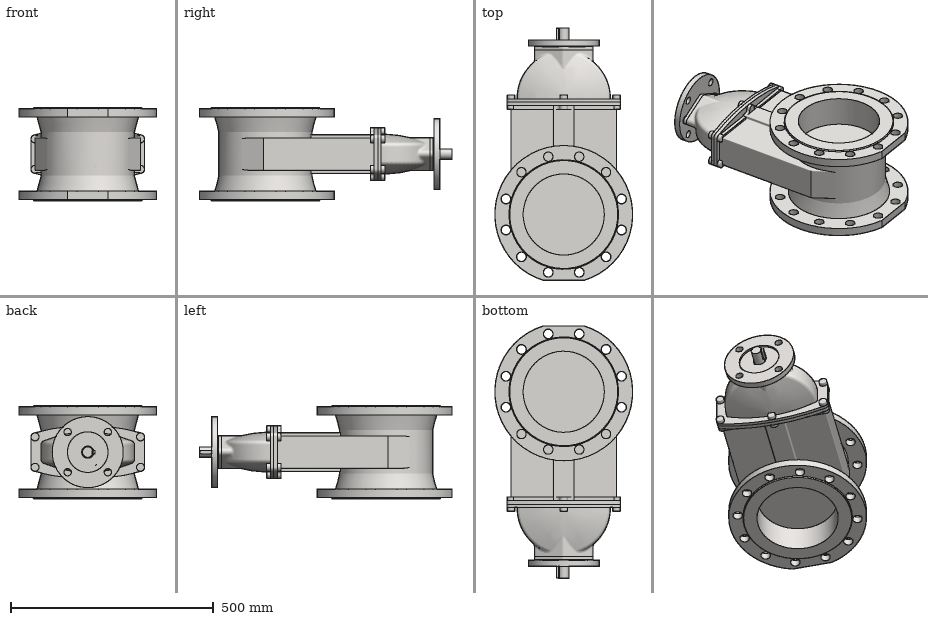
import cadquery as cq
import math


face_to_face = 230.0
bore_diameter = 200.0
flange_diameter = 340.0
flange_flat_width = 100.0
flange_thickness = 21.0
raised_face_diameter = 266.0
raised_face_base_diameter = 270.0
raised_face_height = 3.0
bolt_circle = 295.0
bolt_hole_count = 12
bolt_hole_diameter = 23.0

neck_diameter = 230.0
neck_flare_diameter = 250.0
neck_flare_start = 53.5

chest_half_width = 130.0
chest_half_depth = 40.0
chest_edge_radius = 2.0
chest_taper_start = -5.0
chest_taper_end = -56.5
rib_half_depth = 48.0
rib_half_width = 25.5
rib_edge_radius = 2.0
collar_half_depth = 45.0
collar_length = 9.0

joint_y = 277.5
body_joint_thickness = 9.5
bonnet_joint_thickness = 7.5
joint_corner_radius = 10.0
lug_inset = 0.2
body_lug_length = 18.5
bonnet_lug_length = 17.0
lug_edge_radius = 2.0
corner_lug_x = 130.0
corner_lug_z = 37.5
crown_lug_z = 55.5

dome_radius = 115.0
dome_center_y = 287.0
dome_height = 49.5
dome_cap_radius = 281.0
dome_edge_radius = 10.0
tower_corner_radius = 10.0
tower_corner_x = 62.5
tower_corner_z = 30.5
tower_top_y = 405.5
tower_root_radius = 8.0

gland_thickness = 8.0
gland_gap = 1.5
actuator_flange_diameter = 175.0
actuator_flange_thickness = 15.0
actuator_bolt_circle = 140.0
actuator_hole_count = 4
actuator_hole_diameter = 18.0
actuator_recess_diameter = 100.0
actuator_recess_depth = 5.0
actuator_bore_diameter = 30.0
stem_diameter = 26.0
stem_end_y = 460.0
key_width = 8.0
key_height = 8.0
key_length = 32.0
key_end_inset = 0.5
key_outer_x = 18.0

gate_thickness = 80.0

lug_radius = joint_corner_radius - lug_inset
half_length = face_to_face / 2
flange_outer_z = half_length - raised_face_height
flange_inner_z = flange_outer_z - flange_thickness
gland_top_y = tower_top_y + gland_thickness
flange_back_y = gland_top_y + gland_gap
flange_front_y = flange_back_y + actuator_flange_thickness
SIDES = (-1, 1)


def plane_at(y):
    """Plane across the Y axis at y, with local x along X and local y along Z."""
    return cq.Workplane("XZ", origin=(0, y, 0))


def bar(sketch_at, y_start, y_end):
    """Extrudes the outline drawn by sketch_at from y_start to y_end."""
    return sketch_at(plane_at(y_start)).extrude(y_start - y_end)


def cylinder_along_y(diameter, y_start, y_end, x=0.0, z=0.0):
    return bar(lambda plane: plane.center(x, z).circle(diameter / 2), y_start, y_end)


def box_between(x_half, y_start, y_end, z_half):
    box = cq.Workplane("XY").box(2 * x_half, y_end - y_start, 2 * z_half)
    return box.translate((0, (y_start + y_end) / 2, 0))


def joint_outline(plane):
    """Flat sides and shallow crown arcs, joined tangentially around the corner lugs."""
    crown_z = crown_lug_z + joint_corner_radius
    rise = crown_lug_z - corner_lug_z
    crown_radius = joint_corner_radius + (corner_lug_x**2 + rise**2) / (2 * rise)
    lean = math.asin(corner_lug_x / (crown_radius - joint_corner_radius))
    side_x = corner_lug_x + joint_corner_radius

    def on_lug(angle):
        """Point of the +X +Z corner circle at an angle from the Z direction."""
        x = corner_lug_x + joint_corner_radius * math.sin(angle)
        z = corner_lug_z + joint_corner_radius * math.cos(angle)
        return x, z

    shoulder_x, shoulder_z = on_lug(lean)
    round_x, round_z = on_lug((lean + math.pi / 2) / 2)
    return (
        plane.moveTo(-side_x, -corner_lug_z)
        .lineTo(-side_x, corner_lug_z)
        .threePointArc((-round_x, round_z), (-shoulder_x, shoulder_z))
        .threePointArc((0, crown_z), (shoulder_x, shoulder_z))
        .threePointArc((round_x, round_z), (side_x, corner_lug_z))
        .lineTo(side_x, -corner_lug_z)
        .threePointArc((round_x, -round_z), (shoulder_x, -shoulder_z))
        .threePointArc((0, -crown_z), (-shoulder_x, -shoulder_z))
        .threePointArc((-round_x, -round_z), (-side_x, -corner_lug_z))
        .close()
    )


def joint_flange(thickness, direction, lug_length):
    """Half of the joint: a flange plate and six lugs, on one side of the joint plane."""
    face_y = joint_y + direction * thickness
    lug_end = joint_y + direction * lug_length
    flange = bar(joint_outline, joint_y, face_y)
    lug_centers = [(x * corner_lug_x, z * corner_lug_z) for x in SIDES for z in SIDES]
    lug_centers += [(0, z * crown_lug_z) for z in SIDES]
    end_face = ">Y" if direction > 0 else "<Y"
    for x, z in lug_centers:
        lug = cylinder_along_y(2 * lug_radius, face_y, lug_end, x, z)
        if direction > 0 or x != 0:
            lug = lug.faces(end_face).edges().fillet(lug_edge_radius)
        flange = flange.union(lug)
    return flange


def pipe_section():
    """Flanges, raised faces and the waisted neck as one turned solid."""
    upper = [(neck_diameter / 2, neck_flare_start), (neck_flare_diameter / 2, flange_inner_z)]
    upper += [(flange_diameter / 2, flange_inner_z), (flange_diameter / 2, flange_outer_z)]
    upper += [(raised_face_base_diameter / 2, flange_outer_z)]
    upper += [(raised_face_diameter / 2, half_length), (0, half_length)]
    lower = [(r, -z) for r, z in reversed(upper)]
    pipe = cq.Workplane("XZ").polyline(lower + upper).close().revolve(360, (0, 0, 0), (0, 1, 0))
    flat_y = -math.sqrt((flange_diameter / 2) ** 2 - (flange_flat_width / 2) ** 2)
    pipe = pipe.intersect(box_between(flange_diameter, flat_y, flange_diameter, face_to_face))
    holes = (
        cq.Workplane("XY", origin=(0, 0, -half_length))
        .polarArray(bolt_circle / 2, 180 / bolt_hole_count, 360, bolt_hole_count)
        .circle(bolt_hole_diameter / 2)
        .extrude(face_to_face)
    )
    return pipe.cut(holes)


def gate_chest():
    """Flat box for the raised gate, its sides tapering into the neck."""
    taper_end_x = math.sqrt((neck_diameter / 2) ** 2 - chest_taper_end**2)
    outline = [(-chest_half_width, joint_y), (-chest_half_width, chest_taper_start)]
    outline += [(-taper_end_x, chest_taper_end), (taper_end_x, chest_taper_end)]
    outline += [(chest_half_width, chest_taper_start), (chest_half_width, joint_y)]
    chest = (
        cq.Workplane("XY", origin=(0, 0, -chest_half_depth))
        .polyline(outline)
        .close()
        .extrude(2 * chest_half_depth)
    )
    chest = chest.faces(">Z or <Z").edges("not |X").fillet(chest_edge_radius)
    collar_start = joint_y - body_joint_thickness - collar_length
    collar = box_between(chest_half_width, collar_start, joint_y, collar_half_depth)
    return chest.union(collar)


def center_rib(side):
    """Raised strip along the middle of one broad chest face, rounded at its edges and feet."""
    top_z = side * rib_half_depth
    shoulder_z = side * (rib_half_depth - rib_edge_radius)
    ankle_z = side * (chest_half_depth + rib_edge_radius)
    foot_z = side * chest_half_depth
    top_x = rib_half_width - rib_edge_radius
    foot_x = rib_half_width + rib_edge_radius
    inset = rib_edge_radius * (1 - math.sqrt(0.5))
    edge_middle_x = rib_half_width - inset
    edge_middle_z = side * (rib_half_depth - inset)
    foot_middle_x = rib_half_width + inset
    foot_middle_z = side * (chest_half_depth + inset)

    def outline(plane):
        return (
            plane.moveTo(-foot_x, 0)
            .lineTo(-foot_x, foot_z)
            .threePointArc((-foot_middle_x, foot_middle_z), (-rib_half_width, ankle_z))
            .lineTo(-rib_half_width, shoulder_z)
            .threePointArc((-edge_middle_x, edge_middle_z), (-top_x, top_z))
            .lineTo(top_x, top_z)
            .threePointArc((edge_middle_x, edge_middle_z), (rib_half_width, shoulder_z))
            .lineTo(rib_half_width, ankle_z)
            .threePointArc((foot_middle_x, foot_middle_z), (foot_x, foot_z))
            .lineTo(foot_x, 0)
            .close()
        )

    return bar(outline, 0, joint_y)


def crown_lug_root(side):
    """Concave fillets that carry a crown lug of the body down to the rib."""
    root_radius = crown_lug_z - rib_half_depth
    foot_x = lug_radius + root_radius
    foot_z = side * rib_half_depth
    middle = root_radius * (1 - math.sqrt(0.5))
    middle_x = lug_radius + middle
    middle_z = side * (rib_half_depth + middle)

    def outline(plane):
        return (
            plane.moveTo(-lug_radius, side * crown_lug_z)
            .threePointArc((-middle_x, middle_z), (-foot_x, foot_z))
            .lineTo(foot_x, foot_z)
            .threePointArc((middle_x, middle_z), (lug_radius, side * crown_lug_z))
            .close()
        )

    return bar(outline, joint_y - body_lug_length, joint_y - body_joint_thickness)


def make_body():
    body = pipe_section().union(gate_chest())
    body = body.union(joint_flange(body_joint_thickness, -1, body_lug_length))
    for side in SIDES:
        body = body.union(center_rib(side)).union(crown_lug_root(side))
    bore = cq.Workplane("XY", origin=(0, 0, -half_length)).circle(bore_diameter / 2)
    return body.cut(bore.extrude(face_to_face))


def dome():
    """Round disc with spherical caps and rounded rims, cut off at the joint plane."""
    cap_center_z = dome_height - dome_cap_radius
    rim_z = cap_center_z + math.sqrt(dome_cap_radius**2 - dome_radius**2)
    middle_r = dome_radius / 2
    middle_z = cap_center_z + math.sqrt(dome_cap_radius**2 - middle_r**2)
    solid = (
        cq.Workplane("XZ")
        .moveTo(0, -dome_height)
        .threePointArc((middle_r, -middle_z), (dome_radius, -rim_z))
        .lineTo(dome_radius, rim_z)
        .threePointArc((middle_r, middle_z), (0, dome_height))
        .close()
        .revolve(360, (0, 0, 0), (0, 1, 0))
        .edges("%CIRCLE and (not #Z)")
        .fillet(dome_edge_radius)
        .translate((0, dome_center_y, 0))
    )
    reach = dome_center_y + dome_radius
    return solid.intersect(box_between(dome_radius + 1, joint_y, reach + 1, dome_height + 1))


def tower_outline(plane):
    """Diamond with rounded corners: four arcs joined by their common tangents."""
    tilt = math.atan2(tower_corner_z, tower_corner_x)
    dx = tower_corner_radius * math.sin(tilt)
    dz = tower_corner_radius * math.cos(tilt)
    tip_x = tower_corner_x + tower_corner_radius
    tip_z = tower_corner_z + tower_corner_radius
    return (
        plane.moveTo(-dx, tower_corner_z + dz)
        .threePointArc((0, tip_z), (dx, tower_corner_z + dz))
        .lineTo(tower_corner_x + dx, dz)
        .threePointArc((tip_x, 0), (tower_corner_x + dx, -dz))
        .lineTo(dx, -tower_corner_z - dz)
        .threePointArc((0, -tip_z), (-dx, -tower_corner_z - dz))
        .lineTo(-tower_corner_x - dx, -dz)
        .threePointArc((-tip_x, 0), (-tower_corner_x - dx, dz))
        .close()
    )


def make_bonnet():
    tower = bar(tower_outline, dome_center_y, tower_top_y)
    bonnet = dome().union(tower)
    root_start = dome_center_y + dome_radius / 2
    root_end = tower_top_y - tower_root_radius / 2
    reach = (tower_corner_x + 2 * tower_corner_radius, dome_height)
    root_box = cq.selectors.BoxSelector((-reach[0], root_start, -reach[1]), (reach[0], root_end, reach[1]))
    bonnet = bonnet.edges(root_box).edges("not |Y").fillet(tower_root_radius)
    bonnet = bonnet.union(joint_flange(bonnet_joint_thickness, 1, bonnet_lug_length))
    return bonnet.cut(cylinder_along_y(stem_diameter, joint_y, tower_top_y))


def make_gland():
    gland = bar(tower_outline, tower_top_y, gland_top_y)
    return gland.cut(cylinder_along_y(stem_diameter, tower_top_y, gland_top_y))


def make_actuator_flange():
    """Round flange standing off the gland on two round pads."""
    flange = cylinder_along_y(actuator_flange_diameter, flange_back_y, flange_front_y)
    for side in SIDES:
        pad_x = side * tower_corner_x
        flange = flange.union(cylinder_along_y(2 * tower_corner_radius, gland_top_y, flange_back_y, pad_x))
    flange = flange.cut(cylinder_along_y(actuator_bore_diameter, flange_back_y, flange_front_y))
    recess_floor = flange_front_y - actuator_recess_depth
    flange = flange.cut(cylinder_along_y(actuator_recess_diameter, recess_floor, flange_front_y))
    for index in range(actuator_hole_count):
        angle = 2 * math.pi * (index + 0.5) / actuator_hole_count
        x = actuator_bolt_circle / 2 * math.cos(angle)
        z = actuator_bolt_circle / 2 * math.sin(angle)
        flange = flange.cut(cylinder_along_y(actuator_hole_diameter, flange_back_y, flange_front_y, x, z))
    return flange


def make_key():
    """Round-ended key on the -X side of the stem."""
    middle_y = stem_end_y - key_end_inset - key_length / 2
    return (
        cq.Workplane("YZ", origin=(-key_outer_x, middle_y, 0))
        .slot2D(key_length, key_width)
        .extrude(key_height)
    )


def make_stem():
    return cylinder_along_y(stem_diameter, joint_y, stem_end_y).cut(make_key())


def make_gate():
    gate = cq.Workplane("XY", origin=(0, 0, -gate_thickness / 2))
    return gate.circle(bore_diameter / 2).extrude(gate_thickness)


body = make_body()
bonnet = make_bonnet()
gland = make_gland()
actuator_flange = make_actuator_flange()
stem = make_stem()
key = make_key()
gate = make_gate()

result = cq.Compound.makeCompound(
    [
        body.val(),
        bonnet.val(),
        gland.val(),
        actuator_flange.val(),
        stem.val(),
        key.val(),
        gate.val(),
    ]
)